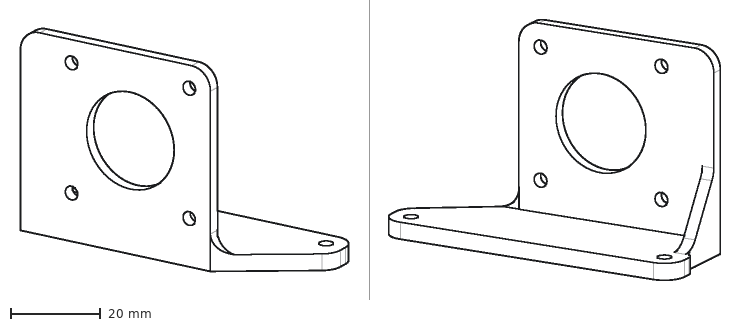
import cadquery as cq
import math

base_length = 75.0
base_depth = 25.0
base_thickness = 4.0
corner_radius = 5.0
mount_hole_diameter = 3.2
diagonal_end_y = 15.15

step_width = 1.95
step_length = 4.0
step_start_y = 13.8

plate_width = 50.0
plate_height = 48.0
plate_thickness = 3.0
plate_left = step_width
plate_right = plate_left + plate_width

motor_x = 30.9
motor_z = 27.0
bore_diameter = 23.0
screw_spacing = 31.0
screw_diameter = 3.2

rib_thickness = 3.0
rib_top_z = 19.35
rib_end_y = 12.9
rib_blend_radius = 5.0

foot_radius = 5.0
foot_depth = 2.85


def make_base(height):
    """Base plate outline raised to a given height: stepped left side, diagonal front right side."""
    half_width = step_width / 2
    half_length = step_length / 2
    step_radius = (half_width**2 + half_length**2) / step_width
    step_middle_y = step_start_y + half_length
    step_end_y = step_start_y + step_length
    base = (
        cq.Workplane("XY")
        .moveTo(plate_left, 0)
        .lineTo(plate_right, 0)
        .lineTo(base_length, diagonal_end_y)
        .lineTo(base_length, base_depth)
        .lineTo(0, base_depth)
        .lineTo(0, step_end_y)
        .radiusArc((half_width, step_middle_y), -step_radius)
        .radiusArc((plate_left, step_start_y), step_radius)
        .close()
        .extrude(height)
    )
    back_corners = base.edges("|Z").edges(">Y").fillet(corner_radius)
    return back_corners.edges("|Z").edges(">X").edges("<Y").fillet(corner_radius)


def make_plate():
    """Upright plate with two rounded top corners."""
    plate = cq.Workplane("XY").box(plate_width, plate_thickness, plate_height, centered=False)
    plate = plate.edges("|Y and >Z").fillet(corner_radius)
    return plate.translate((plate_left, 0, 0))


def make_rib():
    """Sloping left rib that blends into the upright plate and the base."""
    rise = rib_top_z - base_thickness
    run = rib_end_y - plate_thickness
    slope_length = math.hypot(rise, run)
    run_part = run / slope_length
    rise_part = rise / slope_length
    top_tangent = rib_blend_radius * math.tan(math.atan2(run, rise) / 2)
    bottom_tangent = rib_blend_radius * math.tan(math.atan2(rise, run) / 2)
    slope_start = (plate_thickness + top_tangent * run_part, rib_top_z - top_tangent * rise_part)
    slope_end = (rib_end_y - bottom_tangent * run_part, base_thickness + bottom_tangent * rise_part)
    rib = (
        cq.Workplane("YZ", origin=(plate_left, 0, 0))
        .lineTo(0, rib_top_z + top_tangent)
        .lineTo(plate_thickness, rib_top_z + top_tangent)
        .radiusArc(slope_start, -rib_blend_radius)
        .lineTo(*slope_end)
        .radiusArc((rib_end_y + bottom_tangent, base_thickness), -rib_blend_radius)
        .lineTo(rib_end_y + bottom_tangent, 0)
        .close()
        .extrude(rib_thickness)
    )
    return rib


def make_foot(base_outline):
    """Concave fillet at the plate's right edge, trimmed by the base diagonal."""
    foot = (
        cq.Workplane("XZ")
        .moveTo(plate_right, base_thickness)
        .lineTo(plate_right + foot_radius, base_thickness)
        .radiusArc((plate_right, base_thickness + foot_radius), foot_radius)
        .close()
        .extrude(-foot_depth)
    )
    return foot.intersect(base_outline)


def make_mount_holes():
    """Vertical holes concentric with the rounded back corners of the base."""
    hole_y = base_depth - corner_radius
    return (
        cq.Workplane("XY")
        .pushPoints([(corner_radius, hole_y), (base_length - corner_radius, hole_y)])
        .circle(mount_hole_diameter / 2)
        .extrude(base_thickness)
    )


def make_motor_holes():
    """Central bore and four screw holes through the upright plate."""
    pattern = cq.Workplane("XZ", origin=(motor_x, 0, motor_z))
    bore = pattern.circle(bore_diameter / 2).extrude(-plate_thickness)
    screws = (
        pattern.rect(screw_spacing, screw_spacing, forConstruction=True)
        .vertices()
        .circle(screw_diameter / 2)
        .extrude(-plate_thickness)
    )
    return bore.union(screws)


base = make_base(base_thickness)
base_outline = make_base(plate_height)

result = (
    base.union(make_plate())
    .union(make_rib().intersect(base_outline))
    .union(make_foot(base_outline))
    .cut(make_mount_holes())
    .cut(make_motor_holes())
)